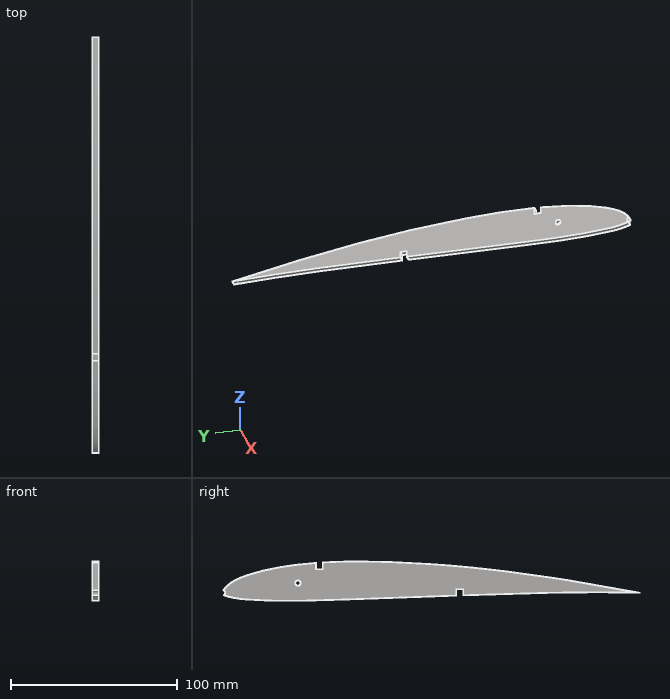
import cadquery as cq

rib_thickness = 4.0
chord = 250.0
rod_diameter = 3.1

trailing_edge = (chord, 0.0)
leading_edge = (0.0, -0.4)
upper_surface = [
    (200.0, 8.7),
    (150.0, 15.15),
    (100.0, 18.5),
    (70.0, 18.7),
    (45.0, 16.9),
    (22.0, 12.75),
    (8.0, 7.8),
    (2.0, 3.45),
]
lower_surface = [
    (4.0, -2.55),
    (15.0, -4.15),
    (35.0, -4.92),
    (70.0, -4.25),
    (120.0, -2.5),
    (180.0, -0.45),
]

spar_width = 4.0
upper_spar_y = 58.0
upper_notch_floor_z = 14.1
lower_spar_y = 142.2
lower_notch_ceiling_z = 2.1
cutter_height = 10.0

rod_hole_y = 45.1
rod_hole_z = 5.8
groove_y = 0.0
groove_z = 0.0


def airfoil_plate():
    """One smooth curve from the trailing edge, around the nose and back."""
    outline = [trailing_edge] + upper_surface + [leading_edge] + lower_surface + [trailing_edge]
    return cq.Workplane("YZ").spline(outline).close().extrude(rib_thickness)


def spar_notch(spar_y, inner_z, direction):
    """Cutter that runs from the notch's inner face out past the rib (direction +1 up, -1 down)."""
    center_z = inner_z + direction * cutter_height / 2
    return cq.Workplane("YZ").center(spar_y, center_z).rect(spar_width, cutter_height).extrude(rib_thickness)


def rod(y, z):
    """Cutter for a round rod that passes through the rib."""
    return cq.Workplane("YZ").center(y, z).circle(rod_diameter / 2).extrude(rib_thickness)


result = (
    airfoil_plate()
    .cut(spar_notch(upper_spar_y, upper_notch_floor_z, 1))
    .cut(spar_notch(lower_spar_y, lower_notch_ceiling_z, -1))
    .cut(rod(rod_hole_y, rod_hole_z))
    .cut(rod(groove_y, groove_z))
)